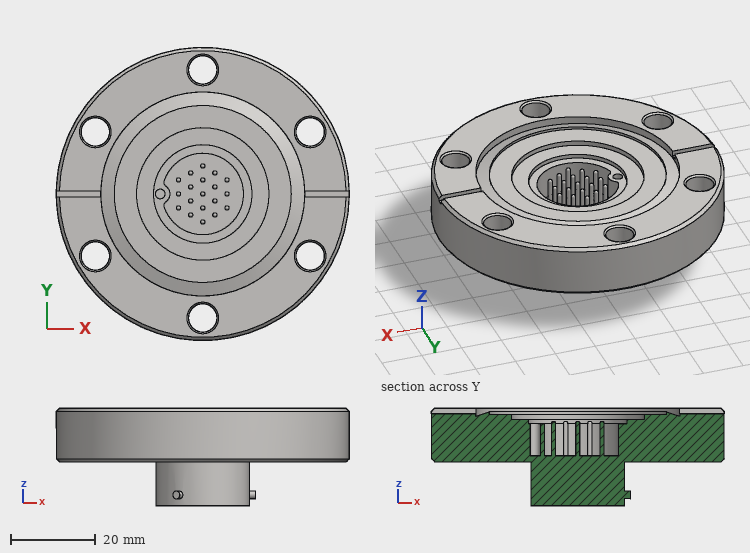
import cadquery as cq
import math

TOTAL_HEIGHT = 23.1
FLANGE_THICKNESS = 12.75
STEM_HEIGHT = TOTAL_HEIGHT - FLANGE_THICKNESS

FLANGE_DIAMETER = 69.35
FLANGE_CHAMFER = 0.75
STEM_DIAMETER = 22.2

RECESS_DIAMETER = 48.25
RECESS_DEPTH = 1.9
KNIFE_DIAMETER = 41.9
KNIFE_DEPTH = 0.8
FACE_DEPTH = 1.45
WELD_STEP_DIAMETER = 31.35
WELD_STEP_DEPTH = 2.65
LEDGE_DIAMETER = 23.3
LEDGE_DEPTH = 3.7

BOLT_COUNT = 6
BOLT_CIRCLE_DIAMETER = 58.65
BOLT_HOLE_DIAMETER = 6.65
BOLT_HOLE_CHAMFER = 0.4
FIRST_BOLT_ANGLE = 30.0

SLOT_WIDTH = 1.45
SLOT_DEPTH = 1.3

SOCKET_DIAMETER = 19.3
SOCKET_FLOOR_DEPTH = 11.2
KEY_OFFSET = 10.05
KEY_RADIUS = 2.3
KEY_HOLE_DIAMETER = 2.3
KEY_CORNER_RADIUS = 1.05

CONTACT_DIAMETER = 1.05
CONTACT_SPAN = 13.25
CONTACT_RINGS = 2
CONTACT_PITCH = CONTACT_SPAN / (2 * CONTACT_RINGS)
CONTACT_TIP_RADIUS = 0.5
CONTACT_TIP_DEPTH = 3.1

BAYONET_COUNT = 3
BAYONET_PIN_DIAMETER = 1.9
BAYONET_TIP_DIAMETER = 25.0
BAYONET_HEIGHT = 2.6


def cylinder(diameter, bottom, top):
    """Vertical cylinder on the part axis between two heights."""
    return cq.Workplane("XY").workplane(offset=bottom).circle(diameter / 2).extrude(top - bottom)


def make_body():
    """Flange and stem turned in one piece, with the stepped sealing face."""
    flange_radius = FLANGE_DIAMETER / 2
    rim_radius = flange_radius - FLANGE_CHAMFER
    stem_radius = STEM_DIAMETER / 2
    recess_radius = RECESS_DIAMETER / 2
    knife_radius = KNIFE_DIAMETER / 2
    weld_step_radius = WELD_STEP_DIAMETER / 2
    ledge_radius = LEDGE_DIAMETER / 2
    profile = [
        (0, 0),
        (stem_radius, 0),
        (stem_radius, STEM_HEIGHT),
        (rim_radius, STEM_HEIGHT),
        (flange_radius, STEM_HEIGHT + FLANGE_CHAMFER),
        (flange_radius, TOTAL_HEIGHT - FLANGE_CHAMFER),
        (rim_radius, TOTAL_HEIGHT),
        (recess_radius, TOTAL_HEIGHT),
        (recess_radius, TOTAL_HEIGHT - RECESS_DEPTH),
        (knife_radius, TOTAL_HEIGHT - KNIFE_DEPTH),
        (knife_radius, TOTAL_HEIGHT - FACE_DEPTH),
        (weld_step_radius, TOTAL_HEIGHT - FACE_DEPTH),
        (weld_step_radius, TOTAL_HEIGHT - WELD_STEP_DEPTH),
        (ledge_radius, TOTAL_HEIGHT - WELD_STEP_DEPTH),
        (ledge_radius, TOTAL_HEIGHT - LEDGE_DEPTH),
        (0, TOTAL_HEIGHT - LEDGE_DEPTH),
    ]
    return cq.Workplane("XZ").polyline(profile).close().revolve(360, (0, 0), (0, 1))


def make_bolt_holes():
    """Through holes with a chamfer at the top mouth."""
    hole_radius = BOLT_HOLE_DIAMETER / 2
    mouth_radius = hole_radius + BOLT_HOLE_CHAMFER
    profile = [
        (0, STEM_HEIGHT),
        (hole_radius, STEM_HEIGHT),
        (hole_radius, TOTAL_HEIGHT - BOLT_HOLE_CHAMFER),
        (mouth_radius, TOTAL_HEIGHT),
        (0, TOTAL_HEIGHT),
    ]
    hole = cq.Workplane("XZ").polyline(profile).close().revolve(360, (0, 0), (0, 1)).val()
    return (
        cq.Workplane("XY")
        .polarArray(BOLT_CIRCLE_DIAMETER / 2, FIRST_BOLT_ANGLE, 360, BOLT_COUNT)
        .eachpoint(lambda place: hole.moved(place))
    )


def make_rim_slot():
    """Slot along X that crosses the rim only, leaving the recess untouched."""
    slot_floor = TOTAL_HEIGHT - SLOT_DEPTH
    bar = (
        cq.Workplane("XY")
        .workplane(offset=slot_floor)
        .rect(FLANGE_DIAMETER, SLOT_WIDTH)
        .extrude(SLOT_DEPTH)
    )
    return bar.cut(cylinder(RECESS_DIAMETER, slot_floor, TOTAL_HEIGHT))


def make_socket():
    """Round socket with a rounded key standing in from its -X wall."""
    floor = TOTAL_HEIGHT - SOCKET_FLOOR_DEPTH
    ledge = TOTAL_HEIGHT - LEDGE_DEPTH
    key = cylinder(2 * KEY_RADIUS, floor, ledge).translate((-KEY_OFFSET, 0, 0))
    socket = cylinder(SOCKET_DIAMETER, floor, ledge).cut(key)
    socket_radius = SOCKET_DIAMETER / 2
    corner_x = -(KEY_OFFSET**2 + socket_radius**2 - KEY_RADIUS**2) / (2 * KEY_OFFSET)
    corner_y = math.sqrt(socket_radius**2 - corner_x**2)
    mid_height = (floor + ledge) / 2
    for side in (-1, 1):
        corner = cq.selectors.NearestToPointSelector((corner_x, side * corner_y, mid_height))
        socket = socket.edges("|Z").edges(corner).fillet(KEY_CORNER_RADIUS)
    return socket


def make_key_hole():
    """Blind hole in the key, as deep as the socket."""
    hole = cylinder(KEY_HOLE_DIAMETER, TOTAL_HEIGHT - SOCKET_FLOOR_DEPTH, TOTAL_HEIGHT - LEDGE_DEPTH)
    return hole.translate((-KEY_OFFSET, 0, 0))


def contact_positions():
    """Triangular grid of points in columns along Y, filling a hexagon."""
    column_spacing = CONTACT_PITCH * math.sqrt(3) / 2
    positions = []
    for column in range(-CONTACT_RINGS, CONTACT_RINGS + 1):
        count = 2 * CONTACT_RINGS + 1 - abs(column)
        for row in range(count):
            y = (row - (count - 1) / 2) * CONTACT_PITCH
            positions.append((column * column_spacing, y))
    return positions


def make_contacts():
    """Contact pins standing on the socket floor, with rounded tips."""
    return (
        cq.Workplane("XY")
        .workplane(offset=TOTAL_HEIGHT - SOCKET_FLOOR_DEPTH)
        .pushPoints(contact_positions())
        .circle(CONTACT_DIAMETER / 2)
        .extrude(SOCKET_FLOOR_DEPTH - CONTACT_TIP_DEPTH)
        .faces(">Z")
        .edges()
        .fillet(CONTACT_TIP_RADIUS)
    )


def make_bayonet_pins():
    """Radial pins whose ends follow a cylinder around the stem."""
    pin = (
        cq.Workplane("YZ")
        .center(0, BAYONET_HEIGHT)
        .circle(BAYONET_PIN_DIAMETER / 2)
        .extrude(BAYONET_TIP_DIAMETER)
        .intersect(cylinder(BAYONET_TIP_DIAMETER, 0, STEM_HEIGHT))
    )
    pins = pin
    for index in range(1, BAYONET_COUNT):
        angle = index * 360 / BAYONET_COUNT
        pins = pins.union(pin.rotate((0, 0, 0), (0, 0, 1), angle))
    return pins


result = (
    make_body()
    .cut(make_bolt_holes())
    .cut(make_rim_slot())
    .union(make_bayonet_pins())
    .cut(make_socket())
    .cut(make_key_hole())
    .union(make_contacts())
)